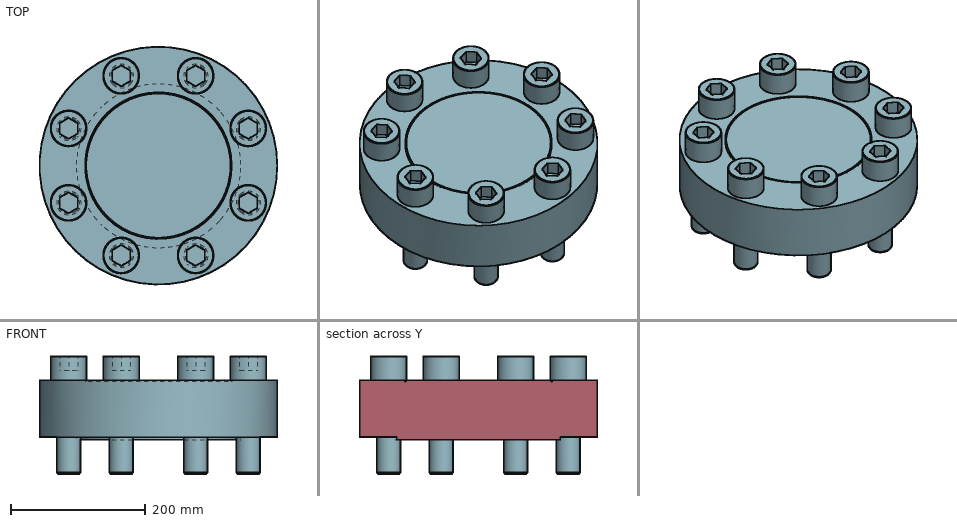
import cadquery as cq
import math

flange_diameter = 355.0
flange_thickness = 85.0

spigot_diameter = 245.0
spigot_height = 4.3

cover_diameter = 219.0
cover_chamfer = 2.0

bolt_count = 8
bolt_circle_diameter = 290.0
shank_diameter = 36.0
shank_projection = 55.5
shank_tip_chamfer_height = 3.2
shank_tip_chamfer_width = 2.0
head_diameter = 54.0
head_height = 36.0
head_chamfer = 1.0
socket_sides = 6
socket_across_flats = 27.0
socket_depth = 21.3

half_pitch_angle = 180.0 / bolt_count
socket_across_corners = socket_across_flats / math.cos(math.radians(180 / socket_sides))


def make_flange():
    """Round flange with a low spigot below; the flange underside lies at Z = 0."""
    flange = cq.Workplane("XY").circle(flange_diameter / 2).extrude(flange_thickness)
    spigot = cq.Workplane("XY").circle(spigot_diameter / 2).extrude(-spigot_height)
    return flange.union(spigot)


def make_cover_groove():
    """V-groove in the top face: upright outer wall, sloping inner wall on the cover edge."""
    outer_radius = cover_diameter / 2
    inner_radius = outer_radius - cover_chamfer
    return (
        cq.Workplane("XZ")
        .moveTo(inner_radius, flange_thickness)
        .lineTo(outer_radius, flange_thickness)
        .lineTo(outer_radius, flange_thickness - cover_chamfer)
        .close()
        .revolve(360, (0, 0, 0), (0, 1, 0))
    )


def make_bolt_head():
    """Cylindrical head on the flange top, centred on the Z axis, with a hexagon socket."""
    head = (
        cq.Workplane("XY")
        .workplane(offset=flange_thickness)
        .circle(head_diameter / 2)
        .extrude(head_height)
        .faces(">Z")
        .chamfer(head_chamfer)
    )
    socket = (
        cq.Workplane("XY")
        .workplane(offset=flange_thickness + head_height)
        .transformed(rotate=(0, 0, 90))
        .polygon(socket_sides, socket_across_corners)
        .extrude(-socket_depth)
    )
    return head.cut(socket)


def make_bolt_shank():
    """Shank below the flange, centred on the Z axis, with a chamfered lower tip."""
    return (
        cq.Workplane("XY")
        .circle(shank_diameter / 2)
        .extrude(-shank_projection)
        .faces("<Z")
        .edges()
        .chamfer(shank_tip_chamfer_height, shank_tip_chamfer_width)
    )


def bolt_positions():
    """Bolt centres, straddling the X and Y axes."""
    return cq.Workplane("XY").polarArray(
        bolt_circle_diameter / 2, half_pitch_angle, 360, bolt_count, rotate=False
    )


def place_bolts(shape):
    """Copy a shape to every bolt position without turning it."""
    return bolt_positions().eachpoint(lambda place: shape.val().moved(place))


result = (
    make_flange()
    .cut(make_cover_groove())
    .union(place_bolts(make_bolt_head()))
    .union(place_bolts(make_bolt_shank()))
)